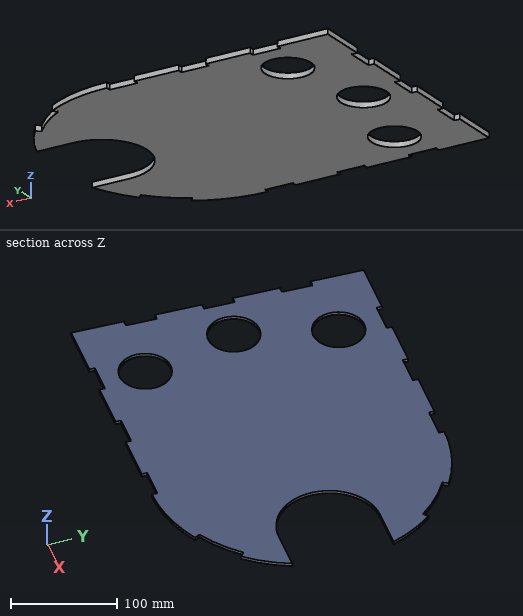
import cadquery as cq
import math

length = 380.0
width = 290.0
thickness = 6.0
nose_radius = width / 2
slot_radius = 100.0 / 2
nose_x = length - math.sqrt(nose_radius**2 - slot_radius**2)
slot_end_x = 339.0

notch_depth = thickness
notch_length = 30.0
side_notch_depth = 5.5
side_notch_pitch = 79.0
side_notch_xs = [nose_x - notch_length / 2 - i * side_notch_pitch for i in range(3)]
rear_notch_pitch = 77.0
rear_notch_ys = [-rear_notch_pitch, 0, rear_notch_pitch]
nose_notch_start = 40.0
nose_notch_end = 60.0

hole_diameter = 50.0
outer_hole_x = 74.5
outer_hole_y = 95.7
middle_hole_x = 49.8
hole_centers = [(outer_hole_x, -outer_hole_y), (middle_hole_x, 0), (outer_hole_x, outer_hole_y)]


def box_cutter(center_x, center_y, size_x, size_y):
    """Rectangular block through the full thickness."""
    return cq.Workplane("XY").center(center_x, center_y).rect(size_x, size_y).extrude(thickness)


def nose_point(radius, degrees):
    """Point at a radius and angle about the nose centre."""
    angle = math.radians(degrees)
    return (nose_x + radius * math.cos(angle), radius * math.sin(angle))


def nose_notch(start, end):
    """Notch with radial ends and a floor concentric with the nose."""
    inner = nose_radius - notch_depth
    outer = nose_radius + notch_depth
    middle = (start + end) / 2
    return (
        cq.Workplane("XY")
        .moveTo(*nose_point(inner, start))
        .threePointArc(nose_point(inner, middle), nose_point(inner, end))
        .lineTo(*nose_point(outer, end))
        .threePointArc(nose_point(outer, middle), nose_point(outer, start))
        .close()
        .extrude(thickness)
    )


plate = (
    cq.Workplane("XY")
    .moveTo(0, -nose_radius)
    .lineTo(nose_x, -nose_radius)
    .threePointArc((nose_x + nose_radius, 0), (nose_x, nose_radius))
    .lineTo(0, nose_radius)
    .close()
    .extrude(thickness)
)

slot_cylinder = cq.Workplane("XY").center(slot_end_x, 0).circle(slot_radius).extrude(thickness)
slot_mouth_length = nose_x + nose_radius - slot_end_x
slot_mouth = box_cutter(slot_end_x + slot_mouth_length / 2, 0, slot_mouth_length, 2 * slot_radius)
plate = plate.cut(slot_cylinder.union(slot_mouth))

for x in side_notch_xs:
    for y in (-nose_radius, nose_radius):
        plate = plate.cut(box_cutter(x, y, notch_length, 2 * side_notch_depth))
for y in rear_notch_ys:
    plate = plate.cut(box_cutter(0, y, 2 * notch_depth, notch_length))
plate = plate.cut(nose_notch(nose_notch_start, nose_notch_end))
plate = plate.cut(nose_notch(-nose_notch_end, -nose_notch_start))

holes = cq.Workplane("XY").pushPoints(hole_centers).circle(hole_diameter / 2).extrude(thickness)
result = plate.cut(holes)